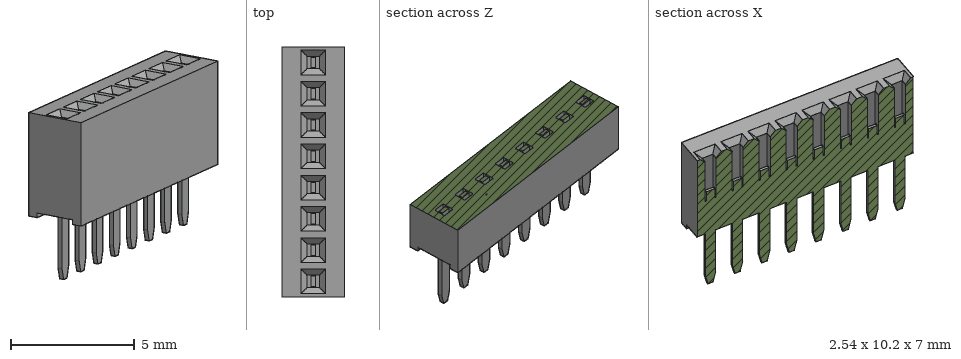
import cadquery as cq

PITCH = 1.27
CONTACT_COUNT = 8
HOUSING_WIDTH = 2.54
HOUSING_LENGTH = PITCH * CONTACT_COUNT
HOUSING_HEIGHT = 4.4
TOTAL_HEIGHT = 7.0

CHANNEL_WIDTH = 1.7
CHANNEL_DEPTH = 0.2

MOUTH_SIZE = 1.0
HOLE_SIZE = 0.5
FUNNEL_DEPTH = (MOUTH_SIZE - HOLE_SIZE) / 2
HOLE_FLOOR_Z = 2.0

PIN_THICKNESS = 0.2
PIN_WIDTH = 0.5
TIP_WIDTH = 0.25
TIP_LENGTH = 0.5
PIN_BOTTOM_Z = HOUSING_HEIGHT - TOTAL_HEIGHT

TONGUE_WIDTH = 0.42
TONGUE_HEIGHT = 0.5


def contact_positions():
    """Y positions of the contacts, centred on the housing."""
    first = -PITCH * (CONTACT_COUNT - 1) / 2
    return [first + PITCH * index for index in range(CONTACT_COUNT)]


def make_housing():
    """Rectangular block with the channel cut along its underside."""
    block = cq.Workplane("XY").box(
        HOUSING_WIDTH, HOUSING_LENGTH, HOUSING_HEIGHT, centered=(True, True, False)
    )
    channel = cq.Workplane("XY").box(
        CHANNEL_WIDTH, HOUSING_LENGTH, CHANNEL_DEPTH, centered=(True, True, False)
    )
    return block.cut(channel)


def make_socket(y):
    """Volume removed for one socket: the funnel and the hole below it."""
    funnel_bottom_z = HOUSING_HEIGHT - FUNNEL_DEPTH
    funnel = (
        cq.Workplane("XY", origin=(0, y, HOUSING_HEIGHT))
        .rect(MOUTH_SIZE, MOUTH_SIZE)
        .workplane(offset=-FUNNEL_DEPTH)
        .rect(HOLE_SIZE, HOLE_SIZE)
        .loft(ruled=True)
    )
    hole = (
        cq.Workplane("XY", origin=(0, y, HOLE_FLOOR_Z))
        .rect(HOLE_SIZE, HOLE_SIZE)
        .extrude(funnel_bottom_z - HOLE_FLOOR_Z)
    )
    return funnel.union(hole)


def make_pin(y):
    """Flat pin from its tapered tip up to the tongue inside the socket."""
    half_width = PIN_WIDTH / 2
    half_tip = TIP_WIDTH / 2
    half_tongue = TONGUE_WIDTH / 2
    taper_top_z = PIN_BOTTOM_Z + TIP_LENGTH
    tongue_top_z = HOLE_FLOOR_Z + TONGUE_HEIGHT
    outline = [
        (-half_tip, PIN_BOTTOM_Z),
        (half_tip, PIN_BOTTOM_Z),
        (half_width, taper_top_z),
        (half_width, HOLE_FLOOR_Z),
        (half_tongue, HOLE_FLOOR_Z),
        (half_tongue, tongue_top_z),
        (-half_tongue, tongue_top_z),
        (-half_tongue, HOLE_FLOOR_Z),
        (-half_width, HOLE_FLOOR_Z),
        (-half_width, taper_top_z),
    ]
    return (
        cq.Workplane("YZ", origin=(0, y, 0))
        .polyline(outline)
        .close()
        .extrude(PIN_THICKNESS / 2, both=True)
    )


result = make_housing()
for contact_y in contact_positions():
    result = result.cut(make_socket(contact_y)).union(make_pin(contact_y))